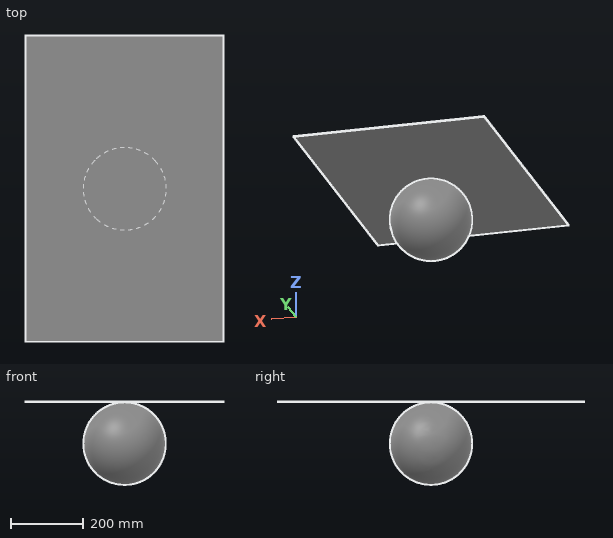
import cadquery as cq

plate_width = 550.0
plate_length = 850.0
total_height = 233.0

plate_thickness = 3.0
ball_diameter = total_height - plate_thickness


def make_plate():
    """Thin rectangular plate with its underside on the plane Z = 0."""
    return cq.Workplane("XY").box(
        plate_width, plate_length, plate_thickness, centered=(True, True, False)
    )


def make_ball():
    """Ball under the middle of the plate, touching its underside at one point."""
    ball_radius = ball_diameter / 2
    return cq.Workplane("XY").sphere(ball_radius).translate((0, 0, -ball_radius))


plate = make_plate()
ball = make_ball()

result = cq.Compound.makeCompound([plate.val(), ball.val()])